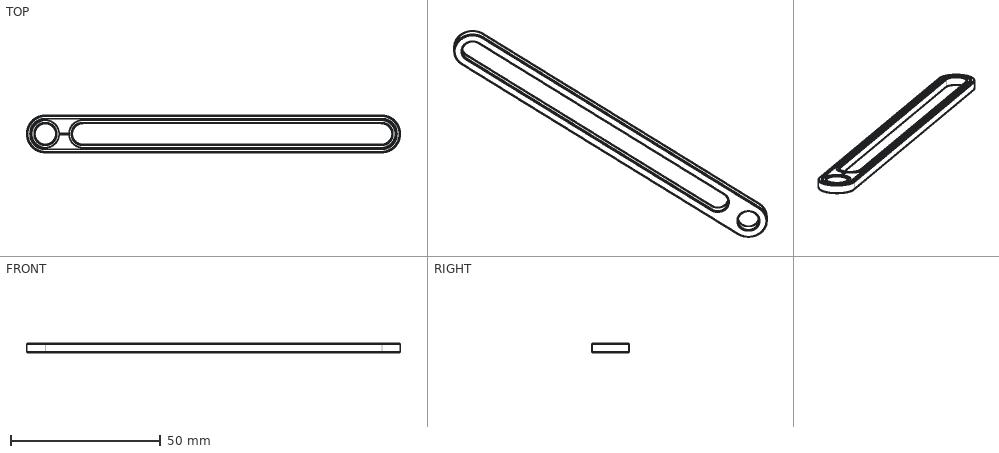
import cadquery as cq

length = 125.0
width = 12.5
thickness = 3.12
edge_chamfer = 0.3

opening_width = 7.0
hole_to_slot = 12.5

inner_rim_width = 9.2
outer_rim_thickness = 1.1
recess_width = width - 2 * outer_rim_thickness
recess_depth = 0.2

ridge_width = 0.4
ridge_end_gap = 0.2

end_x = (length - width) / 2
hole_x = -end_x
slot_start_x = hole_x + hole_to_slot


def stadium(start_x, stop_x, across, base_z, height):
    """Round-ended bar along X, given its two end centres and its width."""
    return (
        cq.Workplane("XY", origin=((start_x + stop_x) / 2, 0, base_z))
        .slot2D(stop_x - start_x + across, across)
        .extrude(height)
    )


def disc(center_x, diameter, base_z, height):
    """Upright cylinder on the X axis."""
    return cq.Workplane("XY", origin=(center_x, 0, base_z)).circle(diameter / 2).extrude(height)


def make_bar():
    """Bar with the hole and slot cut through and all face edges chamfered."""
    hole = disc(hole_x, opening_width, 0, thickness)
    slot = stadium(slot_start_x, end_x, opening_width, 0, thickness)
    bar = stadium(-end_x, end_x, width, 0, thickness).cut(hole).cut(slot)
    return bar.faces("|Z").edges().chamfer(edge_chamfer)


def make_ridge(base_z):
    """Small bar centred between the rims of the hole and the slot."""
    ridge_length = hole_to_slot - inner_rim_width - 2 * ridge_end_gap
    return (
        cq.Workplane("XY", origin=((hole_x + slot_start_x) / 2, 0, base_z))
        .rect(ridge_length, ridge_width)
        .extrude(recess_depth)
    )


def make_recess():
    """Volume removed from the top face, leaving the rims and the ridge standing."""
    floor_z = thickness - recess_depth
    recess = stadium(-end_x, end_x, recess_width, floor_z, recess_depth)
    hole_rim = disc(hole_x, inner_rim_width, floor_z, recess_depth)
    slot_rim = stadium(slot_start_x, end_x, inner_rim_width, floor_z, recess_depth)
    return recess.cut(hole_rim).cut(slot_rim).cut(make_ridge(floor_z))


result = make_bar().cut(make_recess())